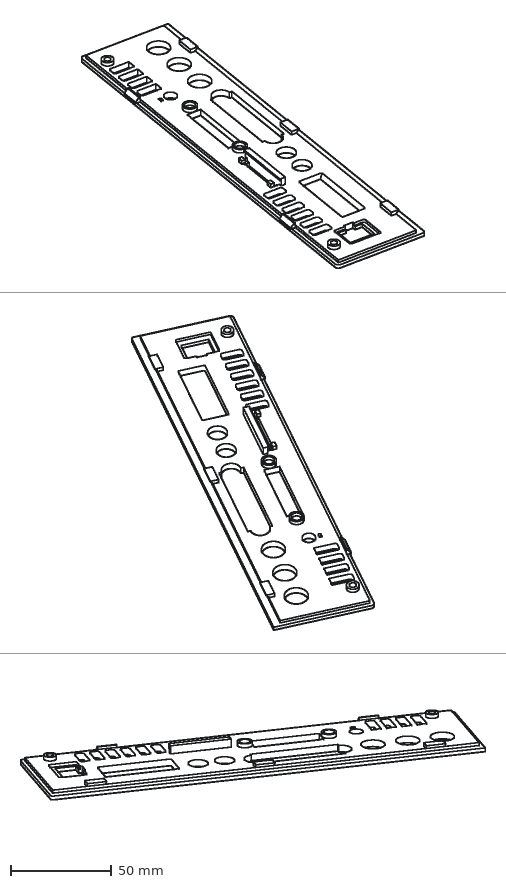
import cadquery as cq


PLATE_LENGTH = 227.0
PLATE_DEPTH = 53.3
PLATE_THICKNESS = 2.0
FRONT_CORNER_RADIUS = 1.8
BACK_RIGHT_CORNER_RADIUS = 1.1
PANEL_MARGIN = 2.0
PANEL_LEFT = PANEL_MARGIN
PANEL_RIGHT = PLATE_LENGTH - PANEL_MARGIN
PANEL_FRONT = PANEL_MARGIN
PANEL_BACK = 49.3
PANEL_TOP = 3.6

TAB_WIDTH = 10.0
BACK_TAB_LEFTS = [20.0, 109.2, 197.3]
BACK_TAB_FRONT = 46.3
BACK_TAB_OVERHANG = 1.5
FRONT_TAB_LEFTS = [40.0, 176.8]
FRONT_TAB_LIP_TOP = 2.7
FRONT_TAB_TOP = 5.0
FRONT_TAB_OVERHANG = 0.7
FRONT_TAB_LAND = 0.7

BOSS_TOP = 5.7
SCREW_BOSS_DIAMETER = 6.4
SCREW_HOLE_DIAMETER = 3.5
SCREW_BOSS_INSET = 13.6
SCREW_BOSS_Y = 7.3
SCREW_BOSS_CENTERS = [(SCREW_BOSS_INSET, SCREW_BOSS_Y), (PLATE_LENGTH - SCREW_BOSS_INSET, SCREW_BOSS_Y)]
SOCKET_DIAMETER = 7.5
SOCKET_BORE_DIAMETER = 5.5
SOCKET_CENTERS = [(70.8, 18.0), (114.9, 18.0)]

LARGE_HOLE_DIAMETER = 12.0
LARGE_HOLE_CENTERS = [(17.0, 35.9), (35.2, 35.9), (53.3, 35.9)]
MEDIUM_HOLE_DIAMETER = 10.0
MEDIUM_HOLE_CENTERS = [(130.8, 35.2), (144.5, 35.2)]
SMALL_HOLE_DIAMETER = 6.8
SMALL_HOLE_CENTER = (56.0, 16.3)

INDICATOR_SLOT = (55.0, 9.8, 57.2, 11.1)
SOCKET_SLOT = (74.7, 13.6, 111.0, 21.8)
WINDOW = (155.7, 25.5, 194.3, 39.5)
WINDOW_CORNER_RADIUS = 0.7
WINDOW_BACK_DRAFT = 0.8

CONNECTOR = (70.1, 30.9, 116.0, 43.8)
CONNECTOR_LOBE_RADIUS = 5.0

SLOT_WIDTH = 5.0
SLOT_FRONT = 4.3
SLOT_CORNER_RADIUS = 1.4
LEFT_ROW_COUNT = 4
LEFT_ROW_FIRST = 21.5
LEFT_ROW_BACK = 16.3
RIGHT_ROW_COUNT = 6
RIGHT_ROW_FIRST = 157.5
RIGHT_ROW_LAST = 197.5
RIGHT_ROW_BACK = 15.7
SLOT_PITCH = (RIGHT_ROW_LAST - RIGHT_ROW_FIRST) / (RIGHT_ROW_COUNT - 1)

INLET_POCKET = (202.0, 15.0, 216.8, 33.5)
INLET_CORNER_RADIUS = 1.0
INLET_OPENING = (203.0, 17.0, 213.5, 31.5)
INLET_NOTCH = (201.1, 21.8, 204.0, 27.2)

GUIDE_LEFT = 122.1
GUIDE_RIGHT = 154.0
GUIDE_FRONT = 16.1
GUIDE_BACK = 18.6
GUIDE_TOP = 8.0
LIP_FRONT = 15.5
LIP_BOTTOM = 7.0
ENTRY = (126.0, 12.3, 150.0, 16.1)
STOP_WIDTH = 3.0
STOP_LEFTS = [124.0, 149.4]
STOP_FRONT = 11.0
STOP_BACK = 13.0
STOP_TOP = 5.7


def block(left, front, right, back, bottom, top):
    """Box between the given sides and levels."""
    return (
        cq.Workplane("XY")
        .box(right - left, back - front, top - bottom, centered=False)
        .translate((left, front, bottom))
    )


def through(opening):
    """Box that cuts a rectangular opening through plate and panel."""
    return block(*opening, 0, PANEL_TOP)


def cylinders(centers, diameter, bottom, top):
    """Upright cylinders at the given centers."""
    return (
        cq.Workplane("XY", origin=(0, 0, bottom))
        .pushPoints(centers)
        .circle(diameter / 2)
        .extrude(top - bottom)
    )


def tab(left, profile):
    """Clip tab whose (Y, Z) profile runs along X from its left end."""
    return cq.Workplane("YZ", origin=(left, 0, 0)).polyline(profile).close().extrude(TAB_WIDTH)


def base():
    plate = block(0, 0, PLATE_LENGTH, PLATE_DEPTH, 0, PLATE_THICKNESS)
    plate = plate.edges("|Z and <Y").fillet(FRONT_CORNER_RADIUS)
    plate = plate.edges("|Z and >X and >Y").fillet(BACK_RIGHT_CORNER_RADIUS)
    return plate.union(block(PANEL_LEFT, PANEL_FRONT, PANEL_RIGHT, PANEL_BACK, 0, PANEL_TOP))


def slot_row(first_center, count, back, rounded_edges):
    """Evenly spaced slots whose corners at the selected edges are rounded."""
    row = cq.Workplane("XY")
    for index in range(count):
        left = first_center + index * SLOT_PITCH - SLOT_WIDTH / 2
        slot = through((left, SLOT_FRONT, left + SLOT_WIDTH, back))
        row = row.add(slot.edges(rounded_edges).fillet(SLOT_CORNER_RADIUS))
    return row.combine()


def window():
    """Window opening whose back wall leans inward toward the bottom."""
    left, _, right, back = WINDOW
    lean = (
        cq.Workplane("YZ", origin=(left, 0, 0))
        .polyline([(back, 0), (back - WINDOW_BACK_DRAFT, 0), (back, PANEL_TOP)])
        .close()
        .extrude(right - left)
    )
    return through(WINDOW).edges("|Z").fillet(WINDOW_CORNER_RADIUS).cut(lean)


def connector_opening():
    left, front, right, back = CONNECTOR
    middle = (front + back) / 2
    lobes = [(left, middle), (right, middle)]
    return through(CONNECTOR).union(cylinders(lobes, 2 * CONNECTOR_LOBE_RADIUS, 0, PANEL_TOP))


def inlet():
    pocket = block(*INLET_POCKET, PLATE_THICKNESS, PANEL_TOP)
    pocket = pocket.edges("|Z").fillet(INLET_CORNER_RADIUS)
    return pocket.union(through(INLET_OPENING)).union(through(INLET_NOTCH))


def card_entry():
    """Through slot with a shallow ledge reaching out to the stops at both ends."""
    ledge_left = STOP_LEFTS[0]
    ledge_right = STOP_LEFTS[-1] + STOP_WIDTH
    ledge = block(ledge_left, STOP_BACK, ledge_right, GUIDE_FRONT, PLATE_THICKNESS, PANEL_TOP)
    return through(ENTRY).union(ledge)


def card_guide():
    guide = block(GUIDE_LEFT, GUIDE_FRONT, GUIDE_RIGHT, GUIDE_BACK, PANEL_TOP, GUIDE_TOP)
    guide = guide.union(block(GUIDE_LEFT, LIP_FRONT, GUIDE_RIGHT, GUIDE_BACK, LIP_BOTTOM, GUIDE_TOP))
    for left in STOP_LEFTS:
        guide = guide.union(
            block(left, STOP_FRONT, left + STOP_WIDTH, STOP_BACK, PANEL_TOP, STOP_TOP)
        )
    return guide


result = base()
result = result.cut(cylinders(LARGE_HOLE_CENTERS, LARGE_HOLE_DIAMETER, 0, PANEL_TOP))
result = result.cut(cylinders(MEDIUM_HOLE_CENTERS, MEDIUM_HOLE_DIAMETER, 0, PANEL_TOP))
result = result.cut(cylinders([SMALL_HOLE_CENTER], SMALL_HOLE_DIAMETER, 0, PANEL_TOP))
result = result.cut(through(INDICATOR_SLOT))
result = result.cut(through(SOCKET_SLOT))
result = result.cut(window())
result = result.cut(connector_opening())
result = result.cut(slot_row(LEFT_ROW_FIRST, LEFT_ROW_COUNT, LEFT_ROW_BACK, "|Z and <Y"))
result = result.cut(slot_row(RIGHT_ROW_FIRST, RIGHT_ROW_COUNT, RIGHT_ROW_BACK, "|Z"))
result = result.cut(inlet())
result = result.cut(card_entry())

back_tab_profile = [
    (BACK_TAB_FRONT, PANEL_TOP),
    (PANEL_BACK, PANEL_TOP),
    (PANEL_BACK + BACK_TAB_OVERHANG, BOSS_TOP),
    (BACK_TAB_FRONT, BOSS_TOP),
]
for tab_left in BACK_TAB_LEFTS:
    result = result.union(tab(tab_left, back_tab_profile))

front_tab_profile = [
    (-FRONT_TAB_OVERHANG, FRONT_TAB_LIP_TOP),
    (-FRONT_TAB_OVERHANG, PLATE_THICKNESS),
    (PANEL_FRONT, PLATE_THICKNESS),
    (PANEL_FRONT, FRONT_TAB_TOP),
    (PANEL_FRONT - FRONT_TAB_LAND, FRONT_TAB_TOP),
]
for tab_left in FRONT_TAB_LEFTS:
    result = result.union(tab(tab_left, front_tab_profile))

result = result.union(cylinders(SCREW_BOSS_CENTERS, SCREW_BOSS_DIAMETER, PANEL_TOP, BOSS_TOP))
result = result.cut(cylinders(SCREW_BOSS_CENTERS, SCREW_HOLE_DIAMETER, 0, BOSS_TOP))
result = result.union(cylinders(SOCKET_CENTERS, SOCKET_DIAMETER, PANEL_TOP, BOSS_TOP))
result = result.cut(cylinders(SOCKET_CENTERS, SOCKET_BORE_DIAMETER, PANEL_TOP, BOSS_TOP))

result = result.union(card_guide())